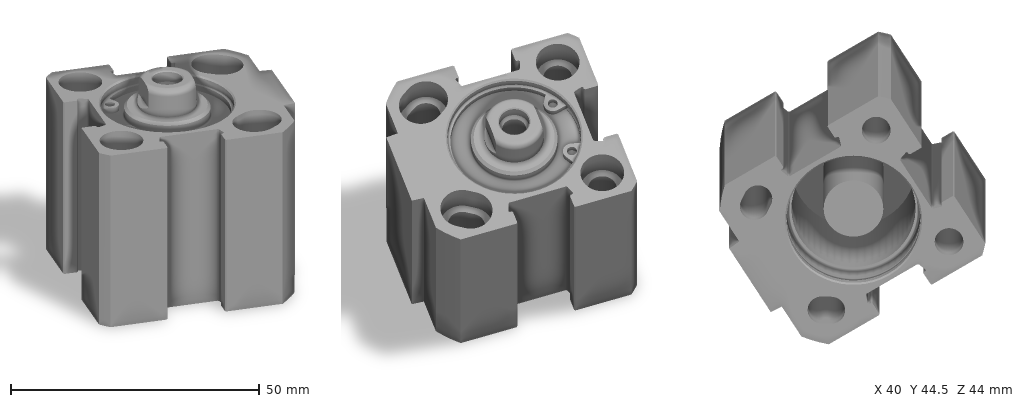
import cadquery as cq
import math


overall_width = 40.0
overall_depth = 44.5
side_reach = overall_width / 2
rail_reach = overall_depth - side_reach
back_reach = 22.0
rail_tip_half_width = 8.0
rail_root_half_width = 8.2
corner_radius = 27.0
housing_height = 38.5

slot_mouth_half_width = 6.05
slot_lip_reach = 16.9
slot_floor_reach = 14.77
slot_undercut_half_width = 6.85
slot_floor_half_width = 6.27
slot_edge_bevel = 0.22

mount_spacing = 28.0
mount_diameter = 5.8
mount_seat_diameter = 8.8
mount_seat_depth = 5.8
slotted_shift_x = -1.0
slotted_shift_y = 1.45

bore_diameter = 25.0
recess_diameter = 27.0
mouth_chamfer = 0.3
groove_diameter = 29.35
groove_depth = 1.8
groove_width = 1.2

cover_diameter = 26.9
cover_plate_thickness = 4.0
boss_diameter = 17.5
boss_drop = 0.45
boss_chamfer = 0.6
boss_root_fillet = 0.35

ring_inner_diameter = 25.7
ear_x = 6.0
ear_y = -10.25
ear_radius = 1.82
ear_hole_diameter = 2.0
ear_gap_lean = 14.0
ear_root_slope = 30.0
ear_side_length = 5.35

rod_diameter = 12.0
rod_protrusion = 5.5
rod_top_fillet = 1.35
flat_half_width = 5.0
flat_length = 4.5
socket_mouth_diameter = 6.6
socket_diameter = 6.15
socket_depth = 2.4
core_diameter = 4.9
core_depth = 8.9

rod_top = housing_height + rod_protrusion
seat_depth = groove_depth + groove_width
cover_top = housing_height - seat_depth
cover_bottom = cover_top - cover_plate_thickness
lower_recess_floor = seat_depth + cover_plate_thickness
boss_top = housing_height - boss_drop


def cylinder(diameter, bottom, top):
    """Upright cylinder on the Z axis between two levels."""
    return cq.Workplane("XY").workplane(offset=bottom).circle(diameter / 2).extrude(top - bottom)


def revolved(profile):
    """Solid turned about the Z axis from a closed outline given as (radius, z)."""
    return profile.close().revolve(360, (0, 0, 0), (0, 1, 0))


def block():
    width = 2 * side_reach
    depth = side_reach + back_reach
    blank = (
        cq.Workplane("XY")
        .center(0, (back_reach - side_reach) / 2)
        .rect(width, depth)
        .extrude(housing_height)
    )
    blank = blank.intersect(cylinder(2 * corner_radius, 0, housing_height))
    rail = (
        cq.Workplane("XY")
        .polyline([
            (-rail_root_half_width, 0),
            (-rail_root_half_width, back_reach),
            (-rail_tip_half_width, rail_reach),
            (rail_tip_half_width, rail_reach),
            (rail_root_half_width, back_reach),
            (rail_root_half_width, 0),
        ])
        .close()
        .extrude(housing_height)
    )
    return blank.union(rail)


def side_slot(angle):
    """Undercut slot of the -Y side, turned about the axis by the angle."""
    half_outline = [
        (slot_mouth_half_width + slot_edge_bevel, -side_reach),
        (slot_mouth_half_width, slot_edge_bevel - side_reach),
        (slot_mouth_half_width, -slot_lip_reach - slot_edge_bevel),
        (slot_mouth_half_width + slot_edge_bevel, -slot_lip_reach),
        (slot_undercut_half_width - slot_edge_bevel, -slot_lip_reach),
        (slot_undercut_half_width, slot_edge_bevel - slot_lip_reach),
        (slot_floor_half_width, -slot_floor_reach - slot_edge_bevel),
        (slot_floor_half_width - slot_edge_bevel, -slot_floor_reach),
    ]
    mirrored = [(-x, y) for x, y in reversed(half_outline)]
    slot = cq.Workplane("XY").polyline(half_outline + mirrored).close().extrude(housing_height)
    return slot.rotate((0, 0, 0), (0, 0, 1), angle)


def upright_slot(diameter, start, shift, bottom, top):
    """Round hole drawn out along the shift; a plain cylinder if the shift is zero."""
    travel = math.hypot(*shift)
    plane = cq.Workplane("XY").workplane(offset=bottom)
    if travel == 0:
        return plane.center(*start).circle(diameter / 2).extrude(top - bottom)
    angle = math.degrees(math.atan2(shift[1], shift[0]))
    middle = (start[0] + shift[0] / 2, start[1] + shift[1] / 2)
    return plane.center(*middle).slot2D(travel + diameter, diameter, angle).extrude(top - bottom)


def mounting_hole(side_x, side_y):
    start = (side_x * mount_spacing / 2, side_y * mount_spacing / 2)
    shift = (0, 0)
    if side_y > 0:
        shift = (side_x * slotted_shift_x, slotted_shift_y)
    through = upright_slot(mount_diameter, start, shift, 0, housing_height)
    seat_floor = housing_height - mount_seat_depth
    seat = upright_slot(mount_seat_diameter, start, shift, seat_floor, housing_height)
    return through.union(seat)


def end_recess():
    """Recess in the top end, with its mouth chamfer and ring groove."""
    recess_radius = recess_diameter / 2
    groove_radius = groove_diameter / 2
    groove_top = cover_top + groove_width
    return revolved(cq.Workplane("XZ").polyline([
        (0, cover_bottom),
        (recess_radius, cover_bottom),
        (recess_radius, cover_top),
        (groove_radius, cover_top),
        (groove_radius, groove_top),
        (recess_radius, groove_top),
        (recess_radius, housing_height - mouth_chamfer),
        (recess_radius + mouth_chamfer, housing_height),
        (0, housing_height),
    ]))


def make_housing():
    housing = block()
    for angle in (-90, 0, 90):
        housing = housing.cut(side_slot(angle))
    for side_x in (-1, 1):
        for side_y in (-1, 1):
            housing = housing.cut(mounting_hole(side_x, side_y))
    top_recess = end_recess()
    middle = (0, 0, housing_height / 2)
    bottom_recess = top_recess.rotate(middle, (1, 0, housing_height / 2), 180)
    housing = housing.cut(top_recess).cut(bottom_recess)
    return housing.cut(cylinder(bore_diameter, 0, housing_height))


def make_cover():
    inner_radius = rod_diameter / 2
    plate_radius = cover_diameter / 2
    boss_radius = boss_diameter / 2
    return revolved(
        cq.Workplane("XZ")
        .moveTo(inner_radius, cover_bottom)
        .lineTo(plate_radius, cover_bottom)
        .lineTo(plate_radius, cover_top)
        .lineTo(boss_radius + boss_root_fillet, cover_top)
        .tangentArcPoint((-boss_root_fillet, boss_root_fillet))
        .lineTo(boss_radius, boss_top - boss_chamfer)
        .lineTo(boss_radius - boss_chamfer, boss_top)
        .lineTo(inner_radius, boss_top)
    )


def ear_side(normal_angle, run_angle):
    """Tangent point of one side of the -X ear, and a point on that side beyond the groove."""
    normal = math.radians(normal_angle)
    run = math.radians(run_angle)
    start_x = ear_radius * math.cos(normal) - ear_x
    start_y = ear_radius * math.sin(normal) + ear_y
    end_x = start_x + ear_side_length * math.cos(run)
    end_y = start_y + ear_side_length * math.sin(run)
    return (start_x, start_y), (end_x, end_y)


def make_ring():
    """Open ring that fills the upper groove, with a holed ear on each side of its gap."""
    plane = cq.Workplane("XY").workplane(offset=cover_top)
    groove_disc = cylinder(groove_diameter, cover_top, cover_top + groove_width)
    gap_start, gap_end = ear_side(-ear_gap_lean, 270 - ear_gap_lean)
    root_start, root_end = ear_side(90 + ear_root_slope, 180 + ear_root_slope)

    gap_side = [gap_start, gap_end]
    mirrored_gap_side = [(-x, y) for x, y in reversed(gap_side)]
    gap = plane.polyline(gap_side + mirrored_gap_side).close().extrude(groove_width)
    ring = groove_disc.cut(cylinder(ring_inner_diameter, cover_top, cover_top + groove_width)).cut(gap)

    ear_center = (-ear_x, ear_y)
    ear_outline = [ear_center, gap_start, gap_end, root_end, root_start]
    ear = plane.polyline(ear_outline).close().extrude(groove_width)
    ear = ear.union(plane.center(*ear_center).circle(ear_radius).extrude(groove_width))
    ear = ear.cut(plane.center(*ear_center).circle(ear_hole_diameter / 2).extrude(groove_width))
    ear = ear.intersect(groove_disc)
    return ring.union(ear).union(ear.mirror("YZ"))


def rod_socket():
    """Stepped blind socket with a bevelled mouth and a bevelled step."""
    mouth_radius = socket_mouth_diameter / 2
    socket_radius = socket_diameter / 2
    core_radius = core_diameter / 2
    socket_floor = rod_top - socket_depth
    return revolved(cq.Workplane("XZ").polyline([
        (0, rod_top),
        (mouth_radius, rod_top),
        (socket_radius, rod_top - (mouth_radius - socket_radius)),
        (socket_radius, socket_floor),
        (core_radius, socket_floor - (socket_radius - core_radius)),
        (core_radius, rod_top - core_depth),
        (0, rod_top - core_depth),
    ]))


def make_rod():
    rod = cylinder(rod_diameter, lower_recess_floor, rod_top).faces(">Z").edges().fillet(rod_top_fillet)
    flat_end = rod_top - flat_length
    run_out = rod_diameter / 2 - flat_half_width
    for side in (-1, 1):
        cut = (
            cq.Workplane("YZ")
            .polyline([
                (side * flat_half_width, rod_top),
                (side * flat_half_width, flat_end),
                (side * (flat_half_width + run_out), flat_end - run_out),
                (side * (flat_half_width + run_out), rod_top),
            ])
            .close()
            .extrude(rod_diameter / 2, both=True)
        )
        rod = rod.cut(cut)
    return rod.cut(rod_socket())


housing = make_housing()
cover = make_cover()
ring = make_ring()
rod = make_rod()

result = cq.Compound.makeCompound([housing.val(), cover.val(), ring.val(), rod.val()])